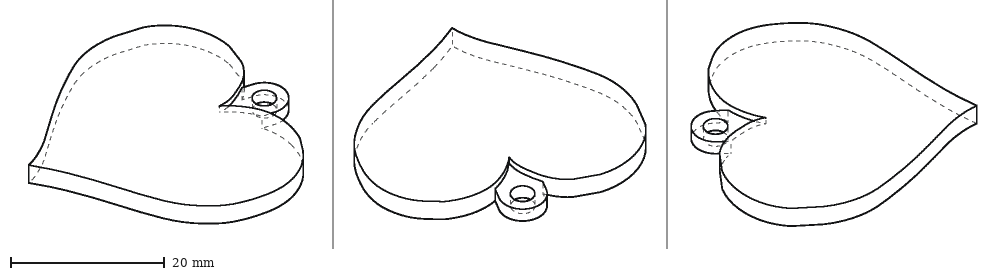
import cadquery as cq

plate_thickness = 3.0
left_side_x = -18.9
right_side_x = 19.15
lobe_top_y = 34.25

tip = (0, 0)
notch = (0, 27.65)

left_flat_inner = (-6.85, lobe_top_y)
left_flat_outer = (-10.5, lobe_top_y)
left_side_upper = (left_side_x, 25.88)
left_side_lower = (left_side_x, 21.7)

right_side = (right_side_x, 23.67)
right_top = (9.15, lobe_top_y)

loop_thickness = 2.0
loop_diameter = 6.4
hole_diameter = 3.2
loop_top_y = 37.37
loop_center_y = loop_top_y - loop_diameter / 2

right_tip_direction = (1, 1)
up = (0, 1)
left = (-1, 0)


def heart_plate():
    """Heart with a smooth right lobe and a left lobe flattened at its top and side."""
    right_lower = [(1.5, 1.65), (4.38, 4.45), (8.53, 7.88), (13.7, 12.03), (16.3, 14.75), (17.93, 17.5)]
    right_upper = [(18.88, 26.45), (17.9, 29.23), (16.3, 31.32), (13.5, 33.23), (11.25, 34.0)]
    right_inner = [(5.85, 33.72), (3.35, 32.4), (2.0, 31.1), (1.0, 29.7)]
    left_inner = [(-0.75, 29.7), (-1.83, 31.1), (-3.2, 32.5)]
    left_upper = [(-14.45, 32.65), (-17.3, 29.88)]
    left_lower = [(-18.35, 18.88), (-16.67, 15.45), (-14.25, 12.7), (-10.43, 9.25), (-5.98, 5.82), (-2.5, 3.1)]
    return (
        cq.Workplane("XY")
        .moveTo(*tip)
        .spline(right_lower + [right_side], tangents=[right_tip_direction, up], includeCurrent=True)
        .spline(right_upper + [right_top], tangents=[up, left], includeCurrent=True)
        .spline(right_inner + [notch], includeCurrent=True)
        .spline(left_inner + [left_flat_inner], includeCurrent=True)
        .lineTo(*left_flat_outer)
        .spline(left_upper + [left_side_upper], includeCurrent=True)
        .lineTo(*left_side_lower)
        .spline(left_lower + [tip], includeCurrent=True)
        .close()
        .extrude(plate_thickness)
    )


def hanging_loop():
    """Round-ended tab that runs down into the notch between the lobes."""
    radius = loop_diameter / 2
    return (
        cq.Workplane("XY")
        .moveTo(-radius, notch[1])
        .lineTo(radius, notch[1])
        .lineTo(radius, loop_center_y)
        .threePointArc((0, loop_top_y), (-radius, loop_center_y))
        .close()
        .extrude(loop_thickness)
    )


def loop_hole():
    """Through hole concentric with the rounded end of the loop."""
    return (
        cq.Workplane("XY")
        .center(0, loop_center_y)
        .circle(hole_diameter / 2)
        .extrude(loop_thickness)
    )


result = heart_plate().union(hanging_loop()).cut(loop_hole())